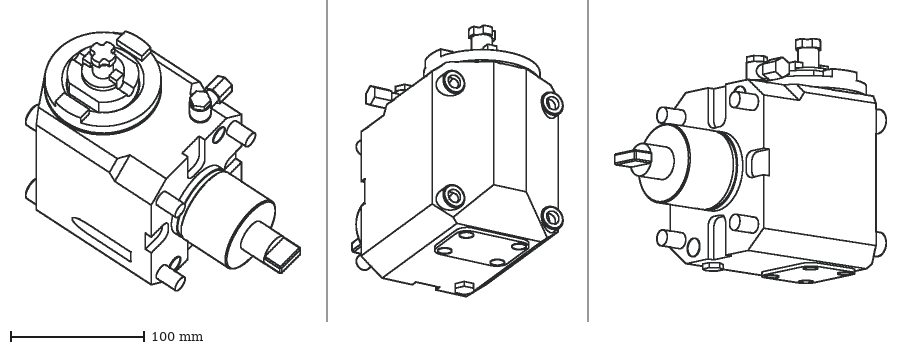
import cadquery as cq
import math


body_length = 133.9
body_width = 108.0
body_height = 130.5
half_width = body_width / 2
body_top = body_height / 2
nose_width = 28.0
nose_angle = 30.0
nose_drop = 29.7
edge_slope = 0.8
top_edge_width = 9.5
deep_edge_width = 18.0
deep_edge_start = 98.8
deep_edge_run_out = 5.2

shank_radius = 30.0
shank_length = 52.6
shank_chamfer = 1.0
groove_start = 5.2
groove_width = 4.0
groove_depth = 1.1
drive_radius = 12.4
drive_length = 22.3
tang_end = 225.0
tang_thickness = 8.3
tang_chamfer = 1.1
keyway_width = 20.2
keyway_depth = 5.6
keyway_corner = 6.8
keyway_inner = 33.8
port_radius = 7.0
port_height = 0.7
port_y = 26.5
port_z = 54.2

bolt_y = 42.0
bolt_z = 46.8
bolt_head_start = 10.0
bolt_head_length = 12.0
bolt_head_radius = 9.2
bolt_head_chamfer = 1.0
bolt_radius = 6.0
bolt_reach = 18.2
socket_radius = 5.2
socket_depth = 5.5
socket_tip = 1.8

spindle_x = 43.9
flange_radius = 43.9
flange_rim_radius = 43.6
flange_base_height = 2.0
flange_top = body_top + 10.5
bore_radius = 27.5
bore_mouth_radius = 30.8
bore_depth = 6.3
lug_width = 24.3
lug_inner = 31.5
lug_top = flange_top + 6.0
disc_radius = 26.8
disc_flats = 45.5
disc_top = flange_top + 7.5
collar_radius = 16.0
collar_top = disc_top + 4.0
key_width = 7.9
key_inner = 9.0
key_outer = 16.5
key_bottom = disc_top - 4.3
key_top = collar_top + 5.0
neck_radius = 7.9
head_radius = 10.0
head_arm = 7.9
head_notch_fillet = 1.8
head_height = 6.5
head_top = 110.5

fitting_x = 116.5
fitting_y = 26.0
hex_flats = 13.7
fitting_radius = 8.0
fitting_foot_radius = 7.5
fitting_foot_height = 1.5
fitting_shoulder = body_top + 15.8
fitting_top = body_top + 20.2
jet_z = body_top + 8.3
jet_radius = 5.6
jet_hex_start = 41.0
jet_hex_end = 55.5
plug_y = -25.0
plug_bottom = -69.0

cover_length = 49.5
cover_width = 60.8
cover_corner = 9.0
cover_height = 2.7
screw_x = 16.9
screw_y = 22.5
screw_radius = 5.5
screw_height = 0.5

pocket_radius = 6.3
pocket_z = -32.5
pocket_tip = 57.5
pocket_bend = 99.2
pocket_end = 114.0
pocket_axis_depth = 3.0

hex_diameter = hex_flats / math.cos(math.radians(30))


def disc(radius, bottom, top, x=spindle_x, y=0.0):
    """Upright cylinder between two heights."""
    return cq.Workplane("XY", origin=(x, y, bottom)).circle(radius).extrude(top - bottom)


def rod(radius, start, end, y=0.0, z=0.0):
    """Cylinder along X between two stations."""
    return cq.Workplane("YZ", origin=(start, y, z)).circle(radius).extrude(end - start)


def box_between(x0, x1, y0, y1, z0, z1):
    """Box given by its limits along each axis."""
    return cq.Workplane("XY", origin=(x0, y0, z0)).box(x1 - x0, y1 - y0, z1 - z0, centered=False)


def both_sides(shape):
    """The shape together with its mirror image across the XZ plane."""
    return shape.union(shape.mirror("XZ"))


def edge_wedge(start, end, width):
    """Triangular bar that chamfers the top edge on the +Y side."""
    return (
        cq.Workplane("YZ", origin=(start, 0, 0))
        .moveTo(half_width, body_top)
        .lineTo(half_width - width, body_top)
        .lineTo(half_width, body_top - width * edge_slope)
        .close()
        .extrude(end - start)
    )


def deep_edge_cutter():
    """Removes the deeper rear part of the +Y top chamfer, with a sloped step at its front."""
    slope_length = math.hypot(1, edge_slope)
    step_depth = (deep_edge_width - top_edge_width) * edge_slope / slope_length
    normal_y = edge_slope / slope_length
    normal_z = 1 / slope_length
    along_edge = cq.Plane(
        origin=(deep_edge_start, half_width - deep_edge_width, body_top),
        xDir=(1, 0, 0),
        normal=(0, -normal_z, normal_y),
    )
    overshoot = 3
    rise = overshoot * step_depth
    run_out = overshoot * deep_edge_run_out
    back = body_length - deep_edge_start
    return (
        cq.Workplane(along_edge)
        .polyline([(0, 0), (back, 0), (back, rise), (-run_out, rise)])
        .close()
        .extrude(body_width / 2, both=True)
    )


def make_body():
    nose_length = (body_width - nose_width) / 2 * math.tan(math.radians(nose_angle))
    body = (
        cq.Workplane("XY", origin=(0, 0, -body_top))
        .moveTo(0, -nose_width / 2)
        .lineTo(nose_length, -half_width)
        .lineTo(body_length, -half_width)
        .lineTo(body_length, half_width)
        .lineTo(nose_length, half_width)
        .lineTo(0, nose_width / 2)
        .close()
        .extrude(body_height)
    )
    nose_cut = (
        cq.Workplane("XZ")
        .moveTo(0, -body_top)
        .lineTo(nose_drop * math.tan(math.radians(nose_angle)), -body_top)
        .lineTo(0, nose_drop - body_top)
        .close()
        .extrude(half_width, both=True)
    )
    bottom_edge = edge_wedge(0, body_length, deep_edge_width).mirror("XY")
    body = body.cut(nose_cut)
    for cutter in (edge_wedge(0, body_length, top_edge_width), bottom_edge, deep_edge_cutter()):
        body = body.cut(both_sides(cutter))
    return body


def make_keyways():
    """Four keyways in the rear face, open at the sides of the body."""
    length = body_height - keyway_inner
    slot = (
        cq.Workplane("YZ", origin=(body_length - keyway_depth, keyway_inner + length / 2, 0))
        .rect(length, keyway_width)
        .extrude(keyway_depth)
        .edges("|X and <Y")
        .fillet(keyway_corner)
    )
    keyways = slot
    for turn in (90, 180, 270):
        keyways = keyways.union(slot.rotate((0, 0, 0), (1, 0, 0), turn))
    return keyways


def pocket_section():
    """Cross-section of the side pocket: a round floor, open past the side face."""
    mouth_y = -2 * pocket_radius
    return (
        cq.Workplane("YZ", origin=(pocket_bend, pocket_axis_depth - half_width, pocket_z))
        .moveTo(mouth_y, pocket_radius)
        .lineTo(0, pocket_radius)
        .threePointArc((pocket_radius, 0), (0, -pocket_radius))
        .lineTo(mouth_y, -pocket_radius)
        .close()
    )


def make_side_pocket():
    """Bolt access pocket whose floor is level at the rear and curves up to the side face."""
    floor_depth = pocket_radius + pocket_axis_depth
    run_in_length = pocket_bend - pocket_tip
    floor_curve = (run_in_length**2 + floor_depth**2) / (2 * floor_depth)
    run_in_angle = 2 * math.degrees(math.asin(run_in_length / floor_curve))
    curve_y = pocket_radius - floor_curve
    run_in = pocket_section().revolve(run_in_angle, (curve_y, 0, 0), (curve_y, 1, 0))
    return run_in.union(pocket_section().extrude(pocket_end - pocket_bend))


def make_shank():
    shank_end = body_length + shank_length
    shank = rod(shank_radius, body_length, shank_end).faces(">X").chamfer(shank_chamfer)
    groove_x = body_length + groove_start
    groove_floor = rod(shank_radius - groove_depth, groove_x, groove_x + groove_width)
    groove = rod(shank_radius, groove_x, groove_x + groove_width).cut(groove_floor)
    drive_end = shank_end + drive_length
    drive = rod(drive_radius, shank_end, drive_end)
    tang = (
        box_between(
            drive_end, tang_end,
            -drive_radius, drive_radius,
            -tang_thickness / 2, tang_thickness / 2,
        )
        .faces(">X or >Y or <Y")
        .edges("not(<X)")
        .chamfer(tang_chamfer)
    )
    return shank.cut(groove).union(drive).union(tang)


def make_ports():
    """Raised seal faces of the two coolant ports on the rear face."""
    port_end = body_length + port_height
    upper = rod(port_radius, body_length, port_end, port_y, port_z)
    return upper.union(rod(port_radius, body_length, port_end, -port_y, -port_z))


def bolt_head(y, z):
    head_end = bolt_head_start + bolt_head_length
    head = rod(bolt_head_radius, bolt_head_start, head_end, y, z)
    head = head.faces("<X").chamfer(bolt_head_chamfer)
    socket_floor = bolt_head_start + socket_depth
    socket = (
        cq.Workplane("XY")
        .moveTo(bolt_head_start, 0)
        .lineTo(bolt_head_start, socket_radius)
        .lineTo(socket_floor, socket_radius)
        .lineTo(socket_floor + socket_tip, 0)
        .close()
        .revolve(360, (0, 0, 0), (1, 0, 0))
        .translate((0, y, z))
    )
    return head.cut(socket)


def add_bolts(holder):
    for y in (-bolt_y, bolt_y):
        for z in (-bolt_z, bolt_z):
            holder = holder.union(bolt_head(y, z))
            holder = holder.union(rod(bolt_radius, body_length, body_length + bolt_reach, y, z))
    return holder


def make_flange():
    """Round flange with a tapered mouth and two driving lugs."""
    rim_bottom = body_top + flange_base_height
    flange = disc(flange_radius, body_top, rim_bottom)
    flange = flange.union(disc(flange_rim_radius, rim_bottom, flange_top))
    mouth = (
        cq.Workplane("XY", origin=(spindle_x, 0, flange_top))
        .circle(bore_mouth_radius)
        .workplane(offset=-bore_depth)
        .circle(bore_radius)
        .loft()
    )
    lug = box_between(
        spindle_x - lug_width / 2, spindle_x + lug_width / 2,
        lug_inner, flange_radius,
        flange_top, lug_top,
    ).intersect(disc(flange_rim_radius, flange_top, lug_top))
    return flange.cut(mouth).union(both_sides(lug))


def key_bar(inner, outer, top):
    """Pair of radial bars along X with rounded undersides."""
    radius = key_width / 2
    bar = (
        cq.Workplane("YZ", origin=(inner, 0, 0))
        .moveTo(-radius, top)
        .lineTo(-radius, key_bottom + radius)
        .threePointArc((0, key_bottom), (radius, key_bottom + radius))
        .lineTo(radius, top)
        .close()
        .extrude(outer - inner)
    )
    return bar.union(bar.mirror("YZ")).translate((spindle_x, 0, 0))


def make_spindle():
    """Flatted disc, collar with two keys, neck and cross-shaped head."""
    disc_bottom = flange_top - bore_depth
    flats = box_between(
        spindle_x - disc_radius, spindle_x + disc_radius,
        -disc_flats / 2, disc_flats / 2,
        disc_bottom, disc_top,
    )
    spindle = disc(disc_radius, disc_bottom, disc_top).intersect(flats)
    spindle = spindle.union(disc(collar_radius, disc_top, collar_top))
    spindle = spindle.cut(key_bar(collar_radius, disc_radius, collar_top))
    spindle = spindle.union(key_bar(key_inner, key_outer, key_top))

    head_bottom = head_top - head_height
    cross = (
        cq.Workplane("XY", origin=(spindle_x, 0, head_bottom))
        .rect(2 * head_radius, head_arm)
        .extrude(head_height)
    )
    cross = cross.union(cross.rotate((spindle_x, 0, 0), (spindle_x, 0, 1), 90))
    notch_edges = cq.selectors.BoxSelector(
        (spindle_x - head_arm, -head_arm, head_bottom),
        (spindle_x + head_arm, head_arm, head_top),
    )
    cross = cross.edges("|Z").edges(notch_edges).fillet(head_notch_fillet)
    head = cross.intersect(disc(head_radius, head_bottom, head_top))
    return spindle.union(disc(neck_radius, collar_top, head_bottom)).union(head)


def hex_post(y, bottom, top):
    """Upright hexagon with two flats facing along X."""
    return (
        cq.Workplane("XY", origin=(fitting_x, y, bottom))
        .transformed(rotate=(0, 0, 90))
        .polygon(6, hex_diameter)
        .extrude(top - bottom)
    )


def make_fitting():
    """Coolant fitting on the top face with a jet pointing to +Y."""
    foot_top = body_top + fitting_foot_height
    fitting = disc(fitting_foot_radius, body_top, foot_top, fitting_x, fitting_y)
    fitting = fitting.union(disc(fitting_radius, foot_top, fitting_shoulder, fitting_x, fitting_y))
    fitting = fitting.union(hex_post(fitting_y, fitting_shoulder, fitting_top))
    jet = (
        cq.Workplane("XZ", origin=(fitting_x, fitting_y, jet_z))
        .circle(jet_radius)
        .extrude(fitting_y - jet_hex_start)
    )
    jet_hex = (
        cq.Workplane("XZ", origin=(fitting_x, jet_hex_start, jet_z))
        .transformed(rotate=(0, 0, 90))
        .polygon(6, hex_diameter)
        .extrude(jet_hex_start - jet_hex_end)
    )
    return fitting.union(jet).union(jet_hex)


def make_plug():
    return hex_post(plug_y, plug_bottom, -body_top)


def make_cover():
    """Rounded plate under the spindle with four screw heads."""
    return (
        cq.Workplane("XY", origin=(spindle_x, 0, -body_top))
        .rect(cover_length, cover_width)
        .extrude(-cover_height)
        .edges("|Z")
        .fillet(cover_corner)
        .faces("<Z")
        .workplane(origin=(spindle_x, 0, 0))
        .rect(2 * screw_x, 2 * screw_y, forConstruction=True)
        .vertices()
        .circle(screw_radius)
        .extrude(screw_height)
    )


attached_parts = (
    make_shank(),
    make_ports(),
    make_flange(),
    make_spindle(),
    make_fitting(),
    make_plug(),
    make_cover(),
)
result = make_body().cut(make_keyways()).cut(make_side_pocket())
result = add_bolts(result)
for part in attached_parts:
    result = result.union(part)